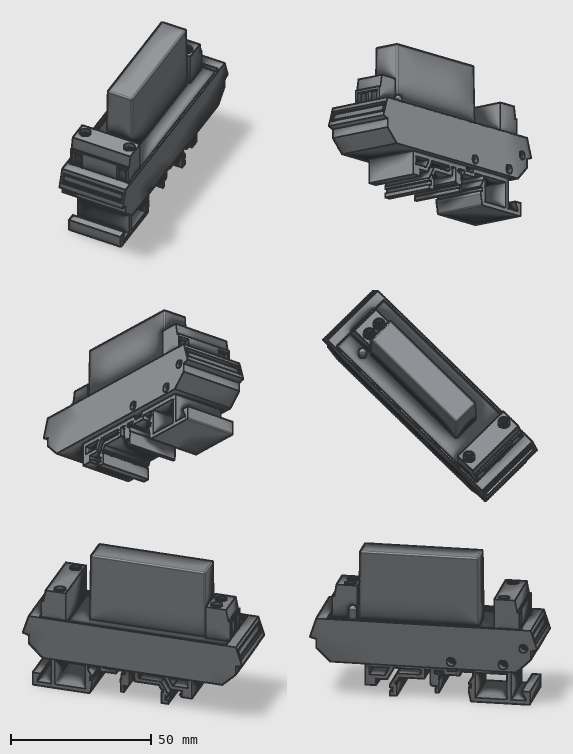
import cadquery as cq
import math


length = 82.4
width = 25.4
height = 15.9
top_half_length = 38.9
base_half_length = 33.8
lip_tip_z = 8.9
lip_base_z = 8.15
corner_cut_z = 4.95
tray_half_length = 35.1
tray_width = 23.7
tray_depth = 1.8
tray_floor_z = height - tray_depth

side_hole_depth = 4.1
side_holes = [(-36.2, 9.0, 1.5), (-28.8, 2.5, 1.65), (-10.0, 2.5, 1.6)]

recess_width = 23.6
recess_start = 1.6
recess_end = 5.5
recess_depth = 1.2
strip_start = 2.5
strip_end = 4.6
strip_sink = 0.7

relay_x = -0.25
relay_front_y = -18.7
relay_back_y = 24.9
relay_width = 10.55
relay_top_z = 39.6
relay_draft = 0.7
relay_round = 0.6

lamp_x = -7.3
lamp_y = 26.6
lamp_radius = 1.4
lamp_top_z = 19.9
lamp_round = 0.999 * lamp_radius

terminal_inner_y = 25.4
terminal_outer_y = 34.5
terminal_shoulder_y = 33.8
terminal_top_y = 33.0
terminal_shoulder_z = 22.1
terminal_top_z = 26.5
output_width = 23.1
output_pitch = 17.6
input_x = 0.3
input_width = 10.9
input_pitch = 4.95
screw_y = 28.4
screw_radius = 2.1
screw_sink = 2.0
slot_width = 0.75
slot_depth = 0.4
cross_radius = 1.6
cross_tip_radius = 0.4
cross_depth = 1.15
tick_radius = 1.4
tick_width = 0.2
tick_depth = 0.2
entry_width = 3.95
entry_depth = 2.0
entry_top_z = 21.1

foot_width = 20.6
foot_bottom_z = -12.7
foot_plate = 1.7
foot_round = 0.6
foot_back_y = 21.6
foot_front_y = -38.2
box_back_y = -18.4
box_front_y = -31.3
box_wall = 1.5
box_floor_z = -11.1


def prism(points, prism_width, x_centre=0.0):
    """Extrude a closed (y, z) outline along X, centred on x_centre."""
    start = cq.Workplane("YZ", origin=(x_centre - prism_width / 2, 0, 0))
    return start.polyline(points).close().extrude(prism_width)


def box(x_size, y_range, z_range, x_centre=0.0):
    """Block centred on x_centre that spans the given Y and Z ranges."""
    (y0, y1), (z0, z1) = y_range, z_range
    return prism([(y0, z0), (y1, z0), (y1, z1), (y0, z1)], x_size, x_centre)


def make_housing():
    right_side = [
        (base_half_length, 0),
        (top_half_length, corner_cut_z),
        (top_half_length, lip_base_z),
        (length / 2, lip_tip_z),
        (top_half_length, height),
    ]
    left_side = [(-y, z) for y, z in reversed(right_side)]
    housing = prism(right_side + left_side, width)
    tray = box(tray_width, (-tray_half_length, tray_half_length), (tray_floor_z, height))
    housing = housing.cut(tray)
    for y, z, radius in side_holes:
        drill = cq.Workplane("YZ", origin=(-width / 2, y, z)).circle(radius).extrude(side_hole_depth)
        housing = housing.cut(drill)
    recess = make_label_recess()
    return housing.cut(recess).cut(recess.mirror("XZ"))


def make_label_recess():
    """Cutter for the recess in the -Y end face, measured down the slope from its top edge."""
    run = length / 2 - top_half_length
    drop = height - lip_tip_z
    slope = cq.Plane(origin=(0, -top_half_length, height), xDir=(1, 0, 0), normal=(0, -drop, run))

    def band(start, end, depth):
        face = cq.Workplane(slope).center(0, -(start + end) / 2)
        return face.rect(recess_width, end - start).extrude(-depth)

    strip = band(strip_start, strip_end, recess_depth).cut(band(strip_start, strip_end, strip_sink))
    return band(recess_start, recess_end, recess_depth).cut(strip)


def make_relay():
    relay_length = relay_back_y - relay_front_y
    relay_y = (relay_back_y + relay_front_y) / 2
    base = cq.Workplane("XY", origin=(relay_x, relay_y, tray_floor_z))
    body = base.rect(relay_width, relay_length).extrude(relay_top_z - tray_floor_z, taper=relay_draft)
    return body.edges("not <Z").fillet(relay_round)


def make_lamp():
    base = cq.Workplane("XY", origin=(lamp_x, lamp_y, tray_floor_z))
    shaft = base.circle(lamp_radius).extrude(lamp_top_z - tray_floor_z)
    return shaft.faces(">Z").edges().fillet(lamp_round)


def make_screw_recess(head):
    """Cutter for a screw head: a full-width slot, a pointed cross and four diagonal ticks."""

    def bar(bar_length, bar_width, depth, angle):
        return head.transformed(rotate=(0, 0, angle)).rect(bar_length, bar_width).extrude(-depth)

    slot = bar(2 * screw_radius, slot_width, slot_depth, 90)
    slot = slot.intersect(head.circle(screw_radius).extrude(-slot_depth))

    cross = bar(2 * cross_radius, slot_width, cross_depth, 0)
    cross = cross.union(bar(2 * cross_radius, slot_width, cross_depth, 90))
    cone_slope = math.degrees(math.atan2(cross_radius - cross_tip_radius, cross_depth))
    cross = cross.intersect(head.circle(cross_radius).extrude(-cross_depth, taper=cone_slope))

    recess = slot.union(cross)
    for angle in (45, 135):
        recess = recess.union(bar(2 * tick_radius, tick_width, tick_depth, angle))
    return recess


def make_terminal(x_centre, block_width, pitch):
    """Two-pole terminal block at the -Y end of the tray."""
    block = prism(
        [
            (-terminal_inner_y, tray_floor_z),
            (-terminal_outer_y, tray_floor_z),
            (-terminal_outer_y, terminal_shoulder_z),
            (-terminal_shoulder_y, terminal_shoulder_z),
            (-terminal_top_y, terminal_top_z),
            (-terminal_inner_y, terminal_top_z),
        ],
        block_width,
        x_centre,
    )
    for pole_x in (x_centre - pitch / 2, x_centre + pitch / 2):
        head = cq.Workplane("XY", origin=(pole_x, -screw_y, terminal_top_z - screw_sink))
        well = head.circle(screw_radius).extrude(screw_sink)
        recess = make_screw_recess(head)
        entry_back_y = -terminal_outer_y + entry_depth
        entry = box(entry_width, (-terminal_outer_y, entry_back_y), (tray_floor_z, entry_top_z), pole_x)
        block = block.cut(well).cut(recess).cut(entry)
    return block


def make_rail_foot():
    """Rail clip under the housing: a top plate carrying hooks, a spring arm and a hollow box."""
    plate_z = -foot_plate
    plate = box(foot_width, (box_front_y, foot_back_y), (plate_z, 0))
    plate = plate.edges("|X and <Y and >Z").fillet(foot_round)

    channel = prism([(-6.7, plate_z), (-6.9, -3.2), (-12.7, -3.2), (-12.9, plate_z)], foot_width)
    channel_gap = prism([(-7.7, 0), (-8.2, plate_z), (-11.5, plate_z), (-12.0, 0)], foot_width)

    end_hook = prism(
        [
            (foot_back_y, plate_z), (foot_back_y, -8.65), (17.8, -8.65), (17.05, -7.75), (17.8, -7.75),
            (17.8, -6.2), (13.6, -6.2), (11.1, plate_z),
        ],
        foot_width,
    )
    window = prism([(20.1, plate_z), (12.9, plate_z), (14.5, -4.7), (20.1, -4.7)], foot_width)

    spring_arm = prism(
        [
            (0, plate_z), (1.9, plate_z), (1.4, -2.2), (1.4, -3.2), (1.9, -3.7), (10.0, -3.7),
            (12.7, -8.2), (12.7, -9.15), (11.6, -9.15), (11.6, -10.7), (12.7, -10.7),
            (12.7, -12.2), (10.1, -12.2), (10.1, -7.8), (10.7, -7.8), (10.7, -6.9),
            (10.0, -6.6), (9.2, -5.2), (0.25, -5.2), (0, -4.95),
        ],
        foot_width,
    )

    tongue = prism(
        [
            (-2.0, plate_z), (-2.0, -6.75), (-2.3, -7.4), (-2.9, -7.7), (-4.2, -7.7),
            (-4.2, -8.65), (-3.8, -8.65), (-3.95, -10.1), (-5.0, -10.1), (-5.3, -5.2),
            (-5.0, -4.95), (-5.0, -3.2), (-4.1, -3.2), (-3.55, -2.7), (-3.55, -2.2),
            (-3.9, plate_z),
        ],
        foot_width,
    )

    box_hook = prism(
        [
            (-17.5, plate_z), (-17.5, -3.2), (-15.9, -5.85), (-15.9, -6.2), (-16.8, -6.2),
            (-16.8, -7.5), (-15.9, -7.5), (-15.9, -8.6), (-16.7, foot_bottom_z),
            (foot_front_y, foot_bottom_z), (foot_front_y, -7.75), (-35.2, -7.75), (-36.5, -10.55),
            (-36.5, box_floor_z), (box_front_y, box_floor_z), (box_front_y, plate_z),
        ],
        foot_width,
    )
    box_hook = box_hook.edges("|X and <Z").fillet(foot_round)
    hollow = box(foot_width, (box_front_y + box_wall, box_back_y), (box_floor_z, plate_z))
    hollow = hollow.edges("|X and <Y and <Z").fillet(foot_round)

    foot = plate.union(channel).cut(channel_gap)
    foot = foot.union(end_hook.cut(window)).union(spring_arm).union(tongue)
    return foot.union(box_hook.cut(hollow))


output_terminal = make_terminal(0.0, output_width, output_pitch)
input_terminal = make_terminal(input_x, input_width, input_pitch).mirror("XZ")

result = make_housing()
for component in (make_relay(), make_lamp(), output_terminal, input_terminal, make_rail_foot()):
    result = result.union(component)